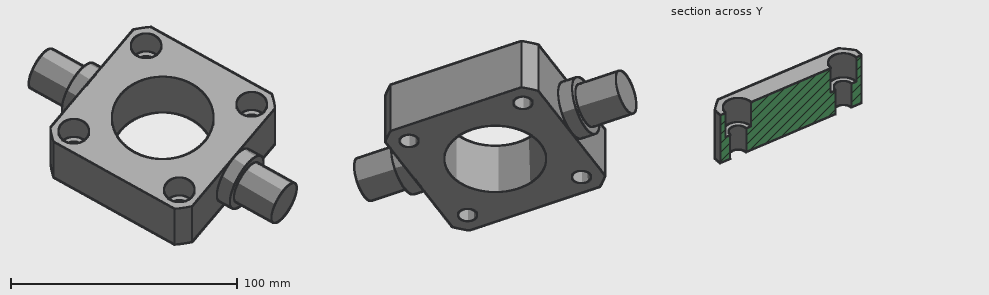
import cadquery as cq

overall_length = 130.0
block_side = 76.0
block_height = 27.0
corner_round_diameter = 100.0

bore_diameter = 45.0

pin_diameter = 20.0
pin_length = 20.0
collar_diameter = 26.5

hole_spacing = 56.5
hole_diameter = 8.5
counterbore_diameter = 13.5
counterbore_depth = block_height / 2

collar_reach = overall_length / 2 - pin_length


def trunnion_cylinder(diameter, reach, side):
    """Round bar from inside the block wall out to reach; side is +1 or -1 along X."""
    wall_middle = (block_side + bore_diameter) / 4
    return (
        cq.Workplane("YZ")
        .workplane(offset=side * wall_middle)
        .circle(diameter / 2)
        .extrude(side * (reach - wall_middle))
    )


turned_blank = cq.Workplane("XY").cylinder(block_height, corner_round_diameter / 2)
result = cq.Workplane("XY").box(block_side, block_side, block_height).intersect(turned_blank)

for side in (-1, 1):
    result = result.union(trunnion_cylinder(collar_diameter, collar_reach, side))
    result = result.union(trunnion_cylinder(pin_diameter, overall_length / 2, side))

result = result.faces(">Z").workplane(origin=(0, 0, 0)).hole(bore_diameter)
result = (
    result.faces(">Z")
    .workplane(origin=(0, 0, 0))
    .rect(hole_spacing, hole_spacing, forConstruction=True)
    .vertices()
    .cboreHole(hole_diameter, counterbore_diameter, counterbore_depth)
)